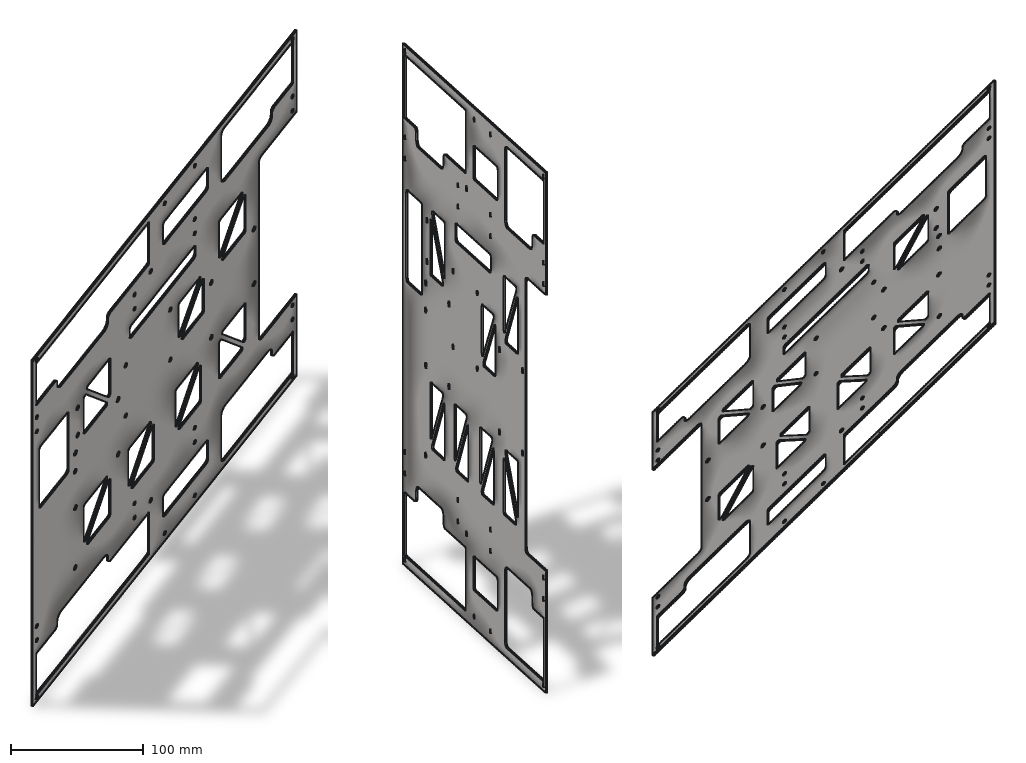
import cadquery as cq

THICKNESS = 1.5
WIDTH = 380.0
HEIGHT = 406.0
HALF_WIDTH = WIDTH / 2
HALF_HEIGHT = HEIGHT / 2

NOTCH_DEPTH = 54.5
NOTCH_HEIGHT = 215.5
NOTCH_RADIUS = 4.5

SIDE_RIM = 5.0
END_RIM = 7.5
WINDOW_SHALLOW_Z = 146.0
WINDOW_DEEP_Z = 132.5
STEP_INNER_Y = 81.5
STEP_OUTER_Y = 154.5
WIDE_WINDOW_INNER_Y = -22.5
DEEP_CORNER_RADIUS = 6.0
SHOULDER_RADIUS = 4.0
TOP_INNER_RADIUS = 4.5
WINDOW_CORNER_RADIUS = 1.0

SMALL_WINDOW_CENTRE = (30.0, 160.3)
SMALL_WINDOW_SIZE = (65.0, 26.5)
SMALL_WINDOW_RADIUS = 3.0
SLOT_CENTRE = (-3.0, 93.0)
SLOT_SIZE = (95.0, 14.5)
SLOT_RADIUS = 3.0
SIDE_OPENING_CENTRE = (-159.5, 55.7)
SIDE_OPENING_SIZE = (42.5, 72.0)
SIDE_OPENING_RADIUS = 3.0

WEB_WIDTH = 4.0
BRACED_RADIUS = 2.0
BRACED_Z = 67.4
BRACED_HEIGHT = 51.5
OUTER_BRACED_Y = 97.3
OUTER_BRACED_WIDTH = 38.4
INNER_BRACED_Y = 33.9
INNER_BRACED_WIDTH = 37.0
EXTRA_BRACED_CENTRE = (38.2, 31.8)
EXTRA_BRACED_SIZE = (36.8, 47.3)

EDGE_HOLE_DIAMETER = 3.25
EDGE_COLUMN_Y = 184.0
CENTRE_COLUMN_Y = 43.3
EDGE_ROW_Z = 198.5
UPPER_ROW_Z = 131.2
LOWER_ROW_Z = 114.5
RIM_HOLE_Z = 194.0
RIM_HOLE_Y = (CENTRE_COLUMN_Y, 0.1)

CABLE_HOLE_DIAMETER = 4.0
CABLE_HOLE_POSITION = (-20.2, 134.8)
MOUNT_HOLE_DIAMETER = 4.2
MOUNT_HOLE_Y = (128.5, 67.1)
MOUNT_HOLE_Z = 32.2
BOARD_HOLE_DIAMETER = 3.7
BOARD_CENTRE = (-23.9, 31.3)
BOARD_HOLE_SPACING = (64.2, 59.0)
SIDE_HOLE_DIAMETER = 4.0
SIDE_HOLES = [(-125.3, 82.0), (-125.3, 49.9), (-128.9, 11.0), (-128.9, -102.3)]


def extrude_outline(points):
    return cq.Workplane("YZ").polyline(points).close().extrude(THICKNESS / 2, both=True)


def round_corners(body, corners, radius):
    """Round the through-thickness edges that stand at the given (Y, Z) corners."""
    margin = 0.1
    for y, z in corners:
        box = cq.selectors.BoxSelector(
            (-THICKNESS, y - margin, z - margin), (THICKNESS, y + margin, z + margin)
        )
        body = body.edges("|X").edges(box).fillet(radius)
    return body


def rectangle(centre, size, radius):
    block = cq.Workplane("YZ").center(*centre).rect(*size).extrude(THICKNESS / 2, both=True)
    return block.edges("|X").fillet(radius)


def mirrored_in_z(body):
    return body.union(body.mirror("XY"))


def mirrored_points(ys, zs):
    return [(side * y, end * z) for y in ys for z in zs for side in (1, -1) for end in (1, -1)]


def holes(points, diameter):
    return cq.Workplane("YZ").pushPoints(points).circle(diameter / 2).extrude(THICKNESS, both=True)


def plate():
    body = cq.Workplane("XY").box(THICKNESS, WIDTH, HEIGHT)
    floor_y = HALF_WIDTH - NOTCH_DEPTH
    half_notch = NOTCH_HEIGHT / 2
    notch = cq.Workplane("XY").box(THICKNESS, NOTCH_DEPTH, NOTCH_HEIGHT)
    notch = notch.translate((0, floor_y + NOTCH_DEPTH / 2, 0))
    inner_corners = [(floor_y, half_notch), (floor_y, -half_notch)]
    return body.cut(round_corners(notch, inner_corners, NOTCH_RADIUS))


def narrow_window():
    """Stepped window in the +Y, +Z corner."""
    outer_y = HALF_WIDTH - SIDE_RIM
    top_z = HALF_HEIGHT - END_RIM
    top_corners = [(outer_y, top_z), (STEP_INNER_Y, top_z)]
    deep_corners = [(STEP_INNER_Y, WINDOW_DEEP_Z), (STEP_OUTER_Y, WINDOW_DEEP_Z)]
    shoulder = (STEP_OUTER_Y, WINDOW_SHALLOW_Z)
    side_corner = (outer_y, WINDOW_SHALLOW_Z)
    body = extrude_outline(top_corners + deep_corners + [shoulder, side_corner])
    body = round_corners(body, deep_corners, DEEP_CORNER_RADIUS)
    body = round_corners(body, top_corners[1:], TOP_INNER_RADIUS)
    body = round_corners(body, [shoulder], SHOULDER_RADIUS)
    return round_corners(body, top_corners[:1] + [side_corner], WINDOW_CORNER_RADIUS)


def wide_window():
    """Window in the -Y, +Z corner, with a deeper stretch part way along."""
    outer_y = SIDE_RIM - HALF_WIDTH
    top_z = HALF_HEIGHT - END_RIM
    inner_corners = [(WIDE_WINDOW_INNER_Y, WINDOW_SHALLOW_Z), (WIDE_WINDOW_INNER_Y, top_z)]
    outer_corners = [(outer_y, top_z), (outer_y, WINDOW_SHALLOW_Z)]
    deep_corners = [(-STEP_OUTER_Y, WINDOW_DEEP_Z), (-STEP_INNER_Y, WINDOW_DEEP_Z)]
    shoulders = [(y, WINDOW_SHALLOW_Z) for y, _ in deep_corners]
    outline = inner_corners + outer_corners + shoulders[:1] + deep_corners + shoulders[1:]
    body = extrude_outline(outline)
    body = round_corners(body, deep_corners, DEEP_CORNER_RADIUS)
    body = round_corners(body, shoulders, SHOULDER_RADIUS)
    return round_corners(body, inner_corners + outer_corners, WINDOW_CORNER_RADIUS)


def braced_opening(centre, size, slope):
    """Two rounded triangles either side of a web; slope is the sign of dZ/dY along the web."""
    width, height = size
    diagonal = (width**2 + height**2) ** 0.5
    leg_share = 1 - WEB_WIDTH / 2 * diagonal / (width * height)
    leg_y = slope * width * leg_share
    leg_z = height * leg_share
    pair = cq.Workplane("YZ")
    for side in (1, -1):
        corner_y = centre[0] - side * slope * width / 2
        corner_z = centre[1] + side * height / 2
        outline = [
            (corner_y, corner_z),
            (corner_y + side * leg_y, corner_z),
            (corner_y, corner_z - side * leg_z),
        ]
        pair = pair.add(extrude_outline(outline).edges("|X").fillet(BRACED_RADIUS))
    return pair.combine()


def cut_windows(body):
    body = body.cut(mirrored_in_z(narrow_window()))
    body = body.cut(mirrored_in_z(wide_window()))
    small_window = rectangle(SMALL_WINDOW_CENTRE, SMALL_WINDOW_SIZE, SMALL_WINDOW_RADIUS)
    body = body.cut(mirrored_in_z(small_window))
    body = body.cut(rectangle(SLOT_CENTRE, SLOT_SIZE, SLOT_RADIUS))
    return body.cut(rectangle(SIDE_OPENING_CENTRE, SIDE_OPENING_SIZE, SIDE_OPENING_RADIUS))


def cut_braced_openings(body):
    outer_size = (OUTER_BRACED_WIDTH, BRACED_HEIGHT)
    inner_size = (INNER_BRACED_WIDTH, BRACED_HEIGHT)
    openings = [
        ((OUTER_BRACED_Y, BRACED_Z), outer_size, 1),
        ((-OUTER_BRACED_Y, BRACED_Z), outer_size, -1),
        ((OUTER_BRACED_Y, -BRACED_Z), outer_size, -1),
        ((-OUTER_BRACED_Y, -BRACED_Z), outer_size, 1),
        ((INNER_BRACED_Y, -BRACED_Z), inner_size, 1),
        ((-INNER_BRACED_Y, -BRACED_Z), inner_size, 1),
        (EXTRA_BRACED_CENTRE, EXTRA_BRACED_SIZE, 1),
    ]
    for centre, size, slope in openings:
        body = body.cut(braced_opening(centre, size, slope))
    return body


def cut_holes(body):
    edge_points = mirrored_points([EDGE_COLUMN_Y], [EDGE_ROW_Z, UPPER_ROW_Z, LOWER_ROW_Z])
    edge_points += mirrored_points([CENTRE_COLUMN_Y], [UPPER_ROW_Z, LOWER_ROW_Z])
    edge_points += [(y, end * RIM_HOLE_Z) for y in RIM_HOLE_Y for end in (1, -1)]
    body = body.cut(holes(edge_points, EDGE_HOLE_DIAMETER))

    cable_y, cable_z = CABLE_HOLE_POSITION
    body = body.cut(holes([(cable_y, cable_z), (cable_y, -cable_z)], CABLE_HOLE_DIAMETER))
    body = body.cut(holes(mirrored_points(MOUNT_HOLE_Y, [MOUNT_HOLE_Z]), MOUNT_HOLE_DIAMETER))

    half_y, half_z = (spacing / 2 for spacing in BOARD_HOLE_SPACING)
    board_y, board_z = BOARD_CENTRE
    board_points = [(board_y + y, board_z + z) for y, z in mirrored_points([half_y], [half_z])]
    body = body.cut(holes(board_points, BOARD_HOLE_DIAMETER))
    return body.cut(holes(SIDE_HOLES, SIDE_HOLE_DIAMETER))


result = cut_holes(cut_braced_openings(cut_windows(plate())))